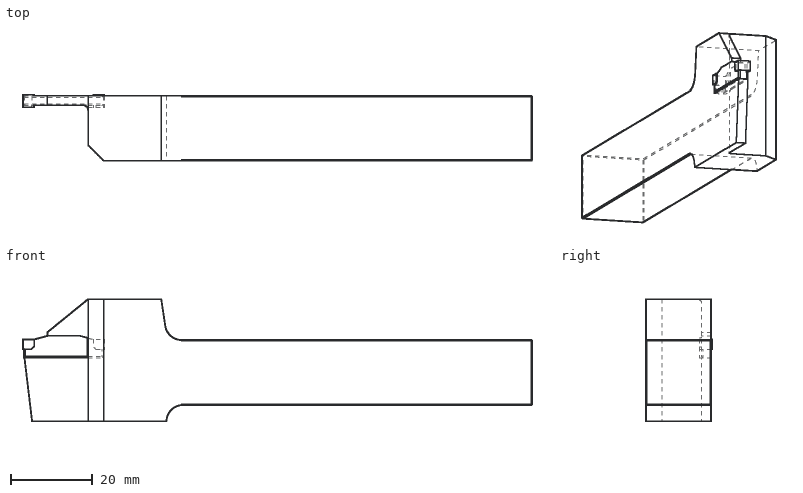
import cadquery as cq
import math

length = 125.0
depth = 16.0
head_height = 30.0
shank_size = 16.0
shank_bottom = 4.0
shank_top = shank_bottom + shank_size
edge_break = 0.2

block_front = 16.0
block_chamfer = 3.9
shoulder_top_x = 34.0
shoulder_bottom_x = 35.2
shoulder_slope = 0.15
shoulder_radius = 4.0

blade_thickness = 2.4
blade_front_bottom = 2.2
blade_front_top = 0.4
blade_fillet = 1.1
jaw_front = 6.0
jaw_front_top = 21.9

insert_length = 20.0
insert_bottom = 15.6
insert_top = 21.0
body_setback = 0.2
tip_top = 20.1
tip_length = 2.8
tip_bottom = 17.8
tip_corner = 0.6
tip_overhang = 0.2
tip_width = 3.1
insert_edge = 0.4
tip_front_y = tip_overhang - tip_width


def extrude_y(points, y_min, y_max):
    """Prism with an outline of (x, z) points, between two y positions."""
    return (cq.Workplane("XZ", origin=(0, y_max, 0))
            .polyline(points).close().extrude(y_max - y_min))


def insert_outline():
    """Side profile of the insert body, mirrored about its middle."""
    front = [
        (body_setback, insert_bottom), (body_setback, tip_top),
        (tip_length, tip_top), (jaw_front, insert_top),
    ]
    return front + [(insert_length - x, z) for x, z in reversed(front)]


def make_block():
    """Block and shank, with filleted shoulders and broken shank edges."""
    top_root = shoulder_top_x + shoulder_slope * (head_height - shank_top)
    bottom_root = shoulder_bottom_x + shoulder_slope * shank_bottom
    block = extrude_y([
        (block_front, 0), (shoulder_bottom_x, 0), (bottom_root, shank_bottom),
        (length, shank_bottom), (length, shank_top), (top_root, shank_top),
        (shoulder_top_x, head_height), (block_front, head_height),
    ], -depth, 0)
    block = block.edges("|Z and <X and <Y").chamfer(block_chamfer)
    for x, z in ((top_root, shank_top), (bottom_root, shank_bottom)):
        root_edge = cq.selectors.NearestToPointSelector((x, -depth / 2, z))
        block = block.edges(root_edge).fillet(shoulder_radius)

    shoulder_angle = math.pi / 2 + math.atan(shoulder_slope)
    bar_start = top_root + shoulder_radius / math.tan(shoulder_angle / 2)
    bar = extrude_y([
        (bar_start, shank_bottom), (length, shank_bottom), (length, shank_top), (bar_start, shank_top),
    ], -depth, 0)
    broken_bar = bar.edges("|X or >X").chamfer(edge_break)
    return block.cut(bar.cut(broken_bar))


def make_holder():
    blade_outline = [
        (blade_front_bottom, 0), (blade_front_top, insert_bottom), (jaw_front, insert_bottom),
        (jaw_front, jaw_front_top), (block_front, head_height),
        (block_front + block_chamfer, head_height), (block_front + block_chamfer, 0),
    ]
    blade = extrude_y(blade_outline, -blade_thickness, 0)
    strip = (cq.Workplane("XY")
             .moveTo(block_front, -blade_thickness)
             .lineTo(block_front - blade_fillet, -blade_thickness)
             .radiusArc((block_front, -blade_thickness - blade_fillet), blade_fillet)
             .close().extrude(head_height))
    strip = strip.intersect(extrude_y(blade_outline, -depth, 0))
    seat = extrude_y(insert_outline(), tip_front_y, tip_overhang)
    rear_tip = make_rear_tip()
    return make_block().union(blade).union(strip).cut(seat).cut(rear_tip)


def make_tip():
    """Wide cutting tip at the front end of the insert."""
    return extrude_y([
        (0, tip_bottom), (0, tip_top), (tip_length, tip_top),
        (tip_length, tip_bottom + tip_corner), (tip_length - tip_corner, tip_bottom),
    ], tip_front_y, tip_overhang)


def make_rear_tip():
    """Second cutting tip, mirrored to the rear end of the insert."""
    return make_tip().mirror("YZ").translate((insert_length, 0, 0))


def make_insert():
    body = extrude_y(insert_outline(), -blade_thickness, 0)
    body = body.edges("(|X and <Z) or (|Z and (<X or >X))").chamfer(insert_edge)
    return body.union(make_tip()).union(make_rear_tip())


holder = make_holder()
insert = make_insert()
result = cq.Compound.makeCompound([holder.val(), insert.val()])